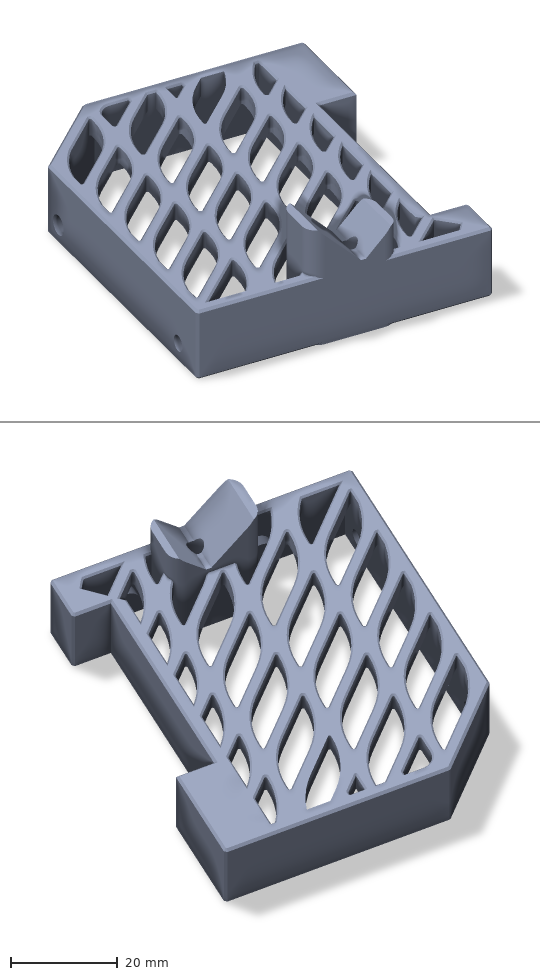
import cadquery as cq
import math

LENGTH = 75.0
DEPTH = 63.0
BOX_HEIGHT = 15.15
CORNER_CUT = 16.05
NOTCH_START = 20.9
NOTCH_END = 64.95
NOTCH_DEPTH = 7.95
EDGE_CHAMFER = 0.5
CUT_EDGE_CHAMFER = 0.2

WALL = 2.55
PLATE_THICKNESS = 4.0
CAVITY_BACK = 52.1
GUSSET_START = 64.2

PITCH_X = 11.3
PITCH_Y = 15.15
ROW_SHIFT = PITCH_X / 3
FIRST_SLOT_X = 14.85
FIRST_SLOT_Y = 8.7
SLOTS_PER_ROW = (6, 6, 7, 7)
SLOT_HALF_HEIGHT = 6.4
SLOT_HALF_WIDTH = 4.0
TIP_RADIUS = 0.3
LOWER_RADIUS = 17.25
UPPER_RADIUS = 15.0
RIM_CHAMFER = 0.4
CUT_OVERRUN = 0.75

SHARP_SLOTS = ((0, 5), (3, 6))

PLAIN_SLOT = (2, 0)
PLAIN_UPPER_RADIUS = 17.25

POCKET_ROW = 1
POCKET_RADIUS = 3.0
TRIANGLE_ROW = 2
REMAINDER_TRIM = 0.7

BLOCK_WIDTH = 11.6
BLOCK_FRONT = 24.0
BLOCK_BACK = 43.0
BLOCK_TOP = 25.3
BLOCK_FRONT_RADIUS = 3.19
BLOCK_BACK_RADIUS = 3.0
VEE_FRONT = 34.9
VEE_BACK = 35.9
VEE_FLOOR = 16.3
VEE_BACK_TOP = 21.75
VEE_HOLE_DIAMETER = 3.4

HOLE_HEIGHT = 4.1
LEFT_HOLE_X = 20.2
LEFT_HOLE_DIAMETER = 3.3
LEFT_HOLE_CHAMFER = 0.45
RIGHT_HOLE_X = 67.6
RIGHT_HOLE_DIAMETER = 3.4

BOSS_DIAMETER = 6.4
BOSS_REACH = 2.2
BOSS_SPACING = 28.2

plate_bottom = BOX_HEIGHT - PLATE_THICKNESS
inner_right = LENGTH - WALL
vee_center = (VEE_FRONT + VEE_BACK) / 2


def corner_near(x, y):
    """Selector for the sketch vertex or upright edge closest to a place seen from above."""
    return cq.selectors.NearestToPointSelector((x, y, 0))


def make_box():
    notch_floor = DEPTH - NOTCH_DEPTH
    chamfered_corners = [
        (LENGTH, 0),
        (LENGTH, DEPTH),
        (NOTCH_END, DEPTH),
        (0, DEPTH),
    ]
    outline = [
        (CORNER_CUT, 0),
        (LENGTH, 0),
        (LENGTH, DEPTH),
        (NOTCH_END, DEPTH),
        (NOTCH_END, notch_floor),
        (NOTCH_START, notch_floor),
        (NOTCH_START, DEPTH),
        (0, DEPTH),
        (0, CORNER_CUT),
    ]
    body = cq.Workplane("XY").polyline(outline).close().extrude(BOX_HEIGHT)
    for x, y in chamfered_corners:
        body = body.edges("|Z").edges(corner_near(x, y)).chamfer(EDGE_CHAMFER)
    body = body.edges("|Z").edges(corner_near(0, CORNER_CUT)).chamfer(CUT_EDGE_CHAMFER)
    return body.faces("<Z or >Z").edges().chamfer(EDGE_CHAMFER)


def cavity_outline(base):
    """Outline of the inner wall faces, at height base."""
    inner_cut = CORNER_CUT + WALL * math.sqrt(2) - WALL
    outline = [
        (inner_cut, WALL),
        (inner_right, WALL),
        (inner_right, CAVITY_BACK + inner_right - GUSSET_START),
        (GUSSET_START, CAVITY_BACK),
        (WALL, CAVITY_BACK),
        (WALL, inner_cut),
    ]
    return cq.Workplane("XY", origin=(0, 0, base)).polyline(outline).close()


def slot_center(row, column):
    x = FIRST_SLOT_X + column * PITCH_X - row * ROW_SHIFT
    y = FIRST_SLOT_Y + row * PITCH_Y
    return x, y


def slot_sketch(lower_radius, upper_radius):
    """Slot around the origin, with its tips at the upper left and lower right."""
    near = SLOT_HALF_HEIGHT - SLOT_HALF_WIDTH
    far = SLOT_HALF_HEIGHT + SLOT_HALF_WIDTH
    corners = [
        (near, -SLOT_HALF_HEIGHT),
        (far, -SLOT_HALF_HEIGHT),
        (-near, SLOT_HALF_HEIGHT),
        (-far, SLOT_HALF_HEIGHT),
        (near, -SLOT_HALF_HEIGHT),
    ]
    sketch = cq.Sketch().polygon(corners)
    sketch = sketch.vertices("<X or >X").fillet(TIP_RADIUS).reset()
    if lower_radius:
        sketch = sketch.vertices(corner_near(near, -SLOT_HALF_HEIGHT)).fillet(lower_radius).reset()
    return sketch.vertices(corner_near(-near, SLOT_HALF_HEIGHT)).fillet(upper_radius).reset()


def remainder_sketch(row):
    """Flat-topped triangle left of the slots in a row, bounded by the left wall."""
    x, y = slot_center(row, -1)
    side_sum = x + y + SLOT_HALF_WIDTH
    floor = y - SLOT_HALF_HEIGHT
    top = side_sum - WALL - REMAINDER_TRIM
    corners = [
        (WALL, floor),
        (side_sum - floor, floor),
        (side_sum - top, top),
        (WALL, top),
        (WALL, floor),
    ]
    return cq.Sketch().polygon(corners)


def pocket_sketch():
    floor = slot_center(POCKET_ROW, -1)[1] - SLOT_HALF_HEIGHT
    sketch = remainder_sketch(POCKET_ROW)
    sketch = sketch.vertices(">X").fillet(TIP_RADIUS).reset()
    return sketch.vertices(corner_near(WALL, floor)).fillet(POCKET_RADIUS).reset()


def cut_straight(body, sketch):
    """Cut a sketch straight through the plate, within the cavity outline."""
    base = plate_bottom - CUT_OVERRUN
    height = PLATE_THICKNESS + 2 * CUT_OVERRUN
    cutter = cq.Workplane("XY", origin=(0, 0, base)).placeSketch(sketch).extrude(height)
    return body.cut(cutter.intersect(cavity_outline(base).extrude(height)))


def cut_rim(body, sketch):
    """Chamfer the upper rim of an opening, including where the walls bound it."""
    base = BOX_HEIGHT - RIM_CHAMFER
    cutter = cq.Workplane("XY", origin=(0, 0, base)).placeSketch(sketch)
    cutter = cutter.extrude(RIM_CHAMFER, taper=-45)
    bounds = cavity_outline(base).extrude(RIM_CHAMFER, taper=-45)
    return body.cut(cutter.intersect(bounds))


def slots_at(places, lower_radius, upper_radius):
    centers = [slot_center(row, column) for row, column in places]
    return cq.Sketch().push(centers).face(slot_sketch(lower_radius, upper_radius)).reset()


def cut_plate_openings(body):
    places = [(row, column) for row, count in enumerate(SLOTS_PER_ROW) for column in range(count)]
    regular = [place for place in places if place != PLAIN_SLOT and place not in SHARP_SLOTS]
    chamfered_openings = (
        slots_at(regular, LOWER_RADIUS, UPPER_RADIUS),
        slots_at(SHARP_SLOTS, 0, UPPER_RADIUS),
        pocket_sketch(),
        remainder_sketch(TRIANGLE_ROW),
    )
    for sketch in chamfered_openings:
        body = cut_straight(body, sketch)
        body = cut_rim(body, sketch)
    return cut_straight(body, slots_at([PLAIN_SLOT], LOWER_RADIUS, PLAIN_UPPER_RADIUS))


def add_bosses(body):
    for side in (-1, 1):
        center = (inner_right - BOSS_REACH, vee_center + side * BOSS_SPACING / 2, plate_bottom / 2)
        boss = cq.Workplane("YZ", origin=center).circle(BOSS_DIAMETER / 2)
        body = body.union(boss.extrude(BOSS_REACH + WALL / 2))
    return body


def cut_front_holes(body):
    for x, diameter in ((LEFT_HOLE_X, LEFT_HOLE_DIAMETER), (RIGHT_HOLE_X, RIGHT_HOLE_DIAMETER)):
        hole = cq.Workplane("XZ", origin=(x, 0, HOLE_HEIGHT)).circle(diameter / 2)
        body = body.cut(hole.extrude(-WALL))
    mouth_radius = LEFT_HOLE_DIAMETER / 2 + LEFT_HOLE_CHAMFER
    mouth = cq.Workplane("XZ", origin=(LEFT_HOLE_X, 0, HOLE_HEIGHT)).circle(mouth_radius)
    return body.cut(mouth.extrude(-LEFT_HOLE_CHAMFER, taper=45))


def make_block():
    """Rounded post with a 45 degree V-groove along X, lower at the back."""
    left = LENGTH - BLOCK_WIDTH
    block = cq.Workplane("XY", origin=(left, BLOCK_FRONT, 0))
    block = block.rect(BLOCK_WIDTH, BLOCK_BACK - BLOCK_FRONT, centered=False).extrude(BLOCK_TOP)
    block = block.faces("<Y").edges("|Z").fillet(BLOCK_FRONT_RADIUS)
    block = block.faces(">Y").edges("|Z").fillet(BLOCK_BACK_RADIUS)
    groove = [
        (VEE_FRONT, VEE_FLOOR),
        (VEE_BACK, VEE_FLOOR),
        (VEE_BACK + VEE_BACK_TOP - VEE_FLOOR, VEE_BACK_TOP),
        (BLOCK_BACK, VEE_BACK_TOP),
        (BLOCK_BACK, BLOCK_TOP),
        (VEE_FRONT - (BLOCK_TOP - VEE_FLOOR), BLOCK_TOP),
    ]
    vee = cq.Workplane("YZ", origin=(left, 0, 0)).polyline(groove).close().extrude(BLOCK_WIDTH)
    return block.cut(vee)


def cut_vee_hole(body):
    center = (LENGTH - BLOCK_WIDTH / 2, vee_center, 0)
    hole = cq.Workplane("XY", origin=center).circle(VEE_HOLE_DIAMETER / 2)
    return body.cut(hole.extrude(BLOCK_TOP))


body = make_box().cut(cavity_outline(0).extrude(plate_bottom))
body = cut_plate_openings(body)
body = add_bosses(body)
body = cut_front_holes(body)
body = body.union(make_block())
result = cut_vee_hole(body)